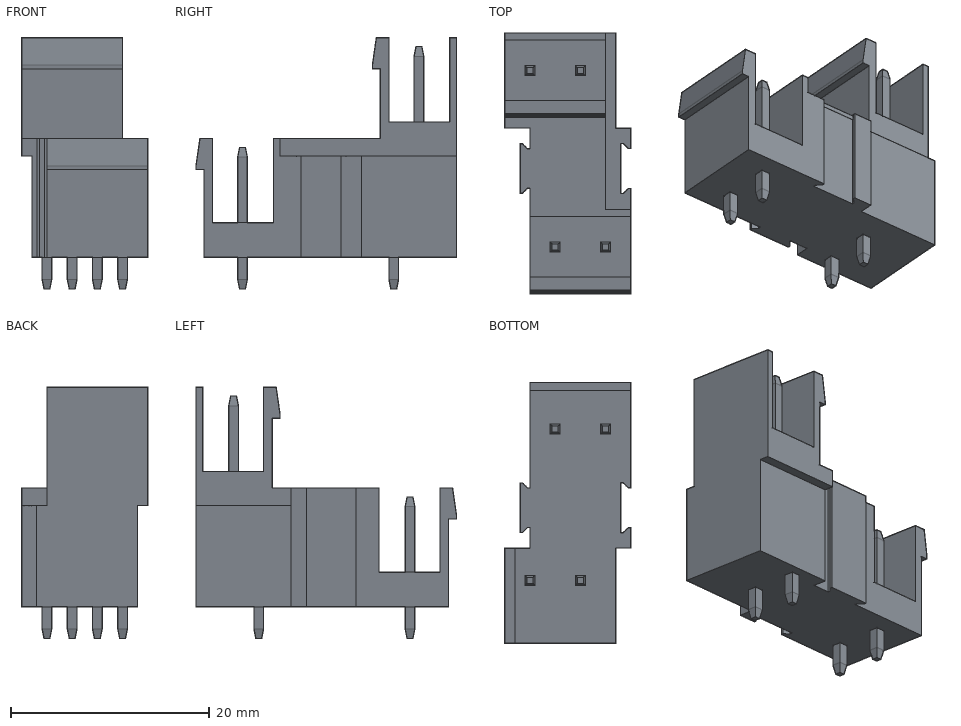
import cadquery as cq


grid = 2.54
pin_pitch = 2 * grid
socket_width = 2 * pin_pitch
front_shift_x = grid
front_shift_y = -7 * grid
front_shift_z = -4 * grid

deck_height = 12.0
top_height = deck_height - front_shift_z
ledge_drop = 1.8
ledge_height = deck_height - ledge_drop
total_width = socket_width + front_shift_x

back_wall = 0.7
cavity_end = 6.8
cavity_depth = 8.5
front_wall_face = 7.7
hook_top_reach = 8.1
hook_reach = 8.5
hook_height = 3.15
hook_lip = 0.38

rear_block_inset = 1.03
rear_block_front = -9.58

tongue_reach = 1.0
tongue_straight = 0.25
tongue_taper = 0.5
tongue_tip_x = front_shift_x - tongue_reach
tongue_flare_x = tongue_tip_x + tongue_straight
tongue_neck_x = tongue_flare_x + tongue_taper
dovetail_center_y = -13.66
dovetail_half_wide = 2.5
dovetail_half_neck = 2.0

pins_per_socket = 2
pin_size = 1.0
pin_tip_size = 0.6
pin_taper = 1.0
pin_tip_below_top = 0.9
pin_depth = 3.8
pin_tail = 3.2
pin_jog_z = 7.0
rear_pin_jog = -grid
rear_pin_x = grid


def box(x_min, x_max, y_min, y_max, z_min, z_max):
    """Block between the given limits."""
    return (
        cq.Workplane("XY")
        .box(x_max - x_min, y_max - y_min, z_max - z_min, centered=False)
        .translate((x_min, y_min, z_min))
    )


def make_socket(x_left, y_rear, z_top, z_bottom):
    """U-shaped channel along X with an outward hook on its front wall."""
    profile = [
        (0, z_bottom),
        (0, z_top),
        (-back_wall, z_top),
        (-back_wall, z_top - cavity_depth),
        (-cavity_end, z_top - cavity_depth),
        (-cavity_end, z_top),
        (-hook_top_reach, z_top),
        (-hook_reach, z_top - hook_height + hook_lip),
        (-hook_reach, z_top - hook_height),
        (-front_wall_face, z_top - hook_height),
        (-front_wall_face, z_bottom),
    ]
    socket = cq.Workplane("YZ").polyline(profile).close().extrude(socket_width)
    return socket.translate((x_left, y_rear, 0))


def make_dovetail(shift_x, x_root, height):
    """Vertical dovetail prism from its wide end to x_root."""
    half = [
        (tongue_tip_x + shift_x, dovetail_half_wide),
        (tongue_flare_x + shift_x, dovetail_half_wide),
        (tongue_neck_x + shift_x, dovetail_half_neck),
        (x_root, dovetail_half_neck),
    ]
    outline = half + [(x, -y) for x, y in reversed(half)]
    prism = cq.Workplane("XY").polyline(outline).close().extrude(height)
    return prism.translate((0, dovetail_center_y, 0))


def make_housing():
    """Rear and front sockets joined by the deck, with a dovetail on each side."""
    rear_socket = make_socket(0, 0, top_height, ledge_height)
    front_socket = make_socket(front_shift_x, front_shift_y, deck_height, 0)
    deck = box(front_shift_x, socket_width, front_shift_y, 0, 0, deck_height)
    overhang = box(0, socket_width, rear_block_front, 0, ledge_height, deck_height)
    rear_block_right = rear_block_inset + socket_width
    rear_block = box(rear_block_inset, rear_block_right, rear_block_front, 0, 0, ledge_height)
    right_ledge = box(socket_width, total_width, front_shift_y, rear_block_front, 0, ledge_height)
    tongue = make_dovetail(0, front_shift_x + rear_block_inset, deck_height)
    groove = make_dovetail(socket_width, total_width, deck_height)
    body = rear_socket.union(front_socket).union(deck).union(overhang)
    body = body.union(rear_block).union(right_ledge).union(tongue)
    return body.cut(groove).clean()


def make_tip(x, y, z_base, direction):
    """Square taper from z_base, pointing up (+1) or down (-1)."""
    return (
        cq.Workplane("XY")
        .rect(pin_size, pin_size)
        .workplane(offset=direction * pin_taper)
        .rect(pin_tip_size, pin_tip_size)
        .loft(ruled=True)
        .translate((x, y, z_base))
    )


def make_pin(x, y_top, socket_top, jog):
    """Square pin with tapered ends; its tail is shifted by jog in Y."""
    half = pin_size / 2
    y_tail = y_top + jog
    upper_end = socket_top - pin_tip_below_top - pin_taper
    lower_end = pin_taper - pin_tail
    upper = box(x - half, x + half, y_top - half, y_top + half, pin_jog_z - half, upper_end)
    lower = box(x - half, x + half, y_tail - half, y_tail + half, lower_end, pin_jog_z + half)
    pin = upper.union(lower)
    if jog:
        run = box(x - half, x + half, y_tail - half, y_top + half, pin_jog_z - half, pin_jog_z + half)
        pin = pin.union(run)
    pin = pin.union(make_tip(x, y_top, upper_end, 1))
    pin = pin.union(make_tip(x, y_tail, lower_end, -1))
    return pin.clean()


housing = make_housing()
pins = []
for index in range(pins_per_socket):
    x_rear = rear_pin_x + index * pin_pitch
    pins.append(make_pin(x_rear, -pin_depth, top_height, rear_pin_jog))
    pins.append(make_pin(x_rear + front_shift_x, front_shift_y - pin_depth, deck_height, 0))

for pin in pins:
    housing = housing.cut(pin)

result = cq.Compound.makeCompound([housing.val()] + [pin.val() for pin in pins])